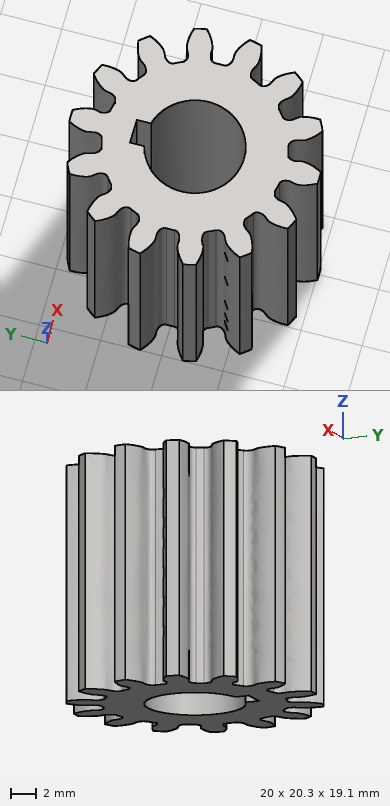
import cadquery as cq
import math

TOOTH_COUNT = 14
TIP_RADIUS = 10.15
FACE_WIDTH = 19.05
PRESSURE_ANGLE = math.radians(14.5)
DEDENDUM_FACTOR = 1.2
BORE_RADIUS = 4.0
KEYWAY_WIDTH = 2.03
KEYWAY_TOP = 5.04

WAIST_HALF_WIDTH = 0.9
WAIST_RADIUS = 8.0
FILLET_HALF_WIDTH = 1.0
FILLET_HEIGHT = 7.48
ROOT_HALF_WIDTH = 1.32
FLANK_STEPS = 5

module = 2 * TIP_RADIUS / (TOOTH_COUNT + 2)
pitch_radius = module * TOOTH_COUNT / 2
base_radius = pitch_radius * math.cos(PRESSURE_ANGLE)
root_radius = pitch_radius - DEDENDUM_FACTOR * module
tooth_pitch = 2 * math.pi / TOOTH_COUNT


def involute(angle):
    return math.tan(angle) - angle


def polar(radius, angle):
    """Point at an angle measured clockwise from +Y."""
    return (radius * math.sin(angle), radius * math.cos(angle))


def flank_half_angle(radius):
    """Half of the angle the tooth spans at a radius on its involute flank."""
    local_pressure_angle = math.acos(min(1.0, base_radius / radius))
    return tooth_pitch / 4 + involute(PRESSURE_ANGLE) - involute(local_pressure_angle)


def place(points, side, centre):
    """Mirror points to one side of a +Y tooth, then turn them to its centre angle."""
    return [polar(math.hypot(x, y), centre + side * math.atan2(x, y)) for x, y in points]


flank_radii = [
    base_radius + (TIP_RADIUS - base_radius) * step / FLANK_STEPS for step in range(FLANK_STEPS + 1)
]
flank = [polar(radius, flank_half_angle(radius)) for radius in flank_radii]

root_end_angle = math.asin(ROOT_HALF_WIDTH / root_radius)
tooth_side = [
    polar(root_radius, root_end_angle),
    (FILLET_HALF_WIDTH, FILLET_HEIGHT),
    (WAIST_HALF_WIDTH, WAIST_RADIUS),
    *flank,
]


def gear_outline():
    outline = cq.Workplane("XY").moveTo(*place(tooth_side, -1, 0)[0])
    for tooth in range(TOOTH_COUNT):
        centre = tooth * tooth_pitch
        rising_side = place(tooth_side, -1, centre)
        falling_side = place(tooth_side, 1, centre)[::-1]
        rising_tangents = [polar(1, centre - root_end_angle + math.pi / 2)] + [None] * (len(tooth_side) - 1)
        falling_tangents = [None] * (len(tooth_side) - 1) + [polar(1, centre + root_end_angle + math.pi / 2)]
        next_root = polar(root_radius, centre + tooth_pitch - root_end_angle)

        outline = outline.spline(rising_side[1:], tangents=rising_tangents, includeCurrent=True)
        outline = outline.threePointArc(polar(TIP_RADIUS, centre), falling_side[0])
        outline = outline.spline(falling_side[1:], tangents=falling_tangents, includeCurrent=True)
        outline = outline.threePointArc(polar(root_radius, centre + tooth_pitch / 2), next_root)
    return outline.close()


gear = gear_outline().extrude(FACE_WIDTH)

bore = cq.Workplane("XY").circle(BORE_RADIUS).extrude(FACE_WIDTH)
keyway = cq.Workplane("XY").center(0, KEYWAY_TOP / 2).rect(KEYWAY_WIDTH, KEYWAY_TOP).extrude(FACE_WIDTH)

result = gear.cut(bore.union(keyway))